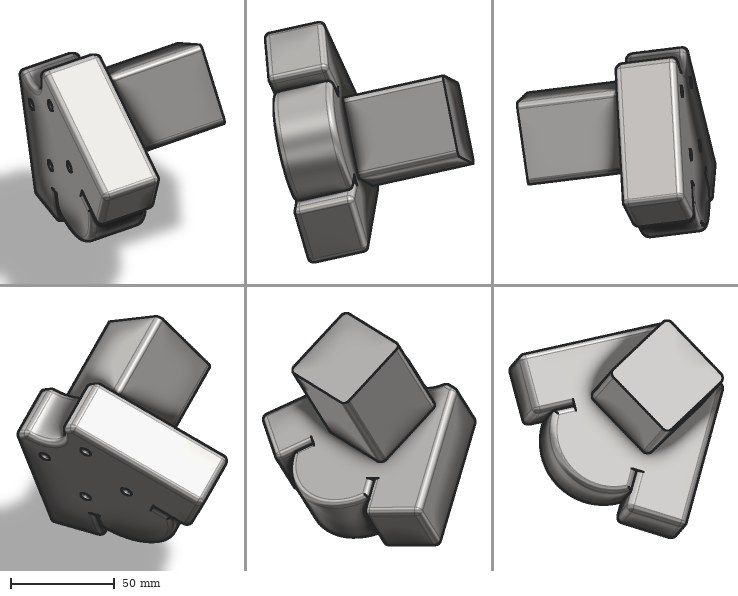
import cadquery as cq
import math


base_thickness = 30.0
post_length = 50.0
edge_radius = 3.0

arm_tilt = 15.0
arm_outer_offset = 34.7
arm_width = 30.1
arm_end_distance = 55.9
nose_distance = 32.5

bite_radius = 15.2
bite_center_distance = 38.9

lobe_radius = 30.0
lobe_center_distance = 24.6
groove_start_distance = 35.8

post_side = 40.3
post_corner_radius = 3.0
hole_diameter = 5.5
hole_spacing = 31.0
hole_depth = base_thickness

arm_inner_offset = arm_outer_offset - arm_width
arm_angle = math.radians(arm_tilt)
half_angle = math.radians(45.0 - arm_tilt)


def arm_point(along, offset):
    """Point at a distance along the arm and an offset square to it, as (X, Z)."""
    x = along * math.cos(arm_angle) + offset * math.sin(arm_angle)
    z = -along * math.sin(arm_angle) + offset * math.cos(arm_angle)
    return (x, z)


def mirrored(point):
    """Mirror image of a point about the symmetry line Z = -X."""
    x, z = point
    return (-z, -x)


def axis_point(distance):
    """Point on the symmetry line, positive towards +X and -Z."""
    return (distance * math.sqrt(0.5), -distance * math.sqrt(0.5))


def front_plane():
    """Sketch plane whose axes are X and Z; extruding by a negative length goes to +Y."""
    return cq.Workplane("XZ")


def prism(points):
    """Block of full base thickness with the given (X, Z) corners."""
    return front_plane().polyline(points).close().extrude(-base_thickness)


crotch = axis_point(-arm_inner_offset / math.sin(half_angle))


def make_arms():
    """Both arms, with the flat nose and its bite, rounded on every edge but the crotch."""
    nose_along = (arm_outer_offset * math.sin(half_angle) - nose_distance) / math.cos(half_angle)
    upper_side = [
        arm_point(nose_along, arm_outer_offset),
        arm_point(arm_end_distance, arm_outer_offset),
        arm_point(arm_end_distance, arm_inner_offset),
    ]
    lower_side = [mirrored(point) for point in reversed(upper_side)]
    arms = prism(upper_side + [crotch] + lower_side)
    bite = (
        front_plane()
        .center(*axis_point(-bite_center_distance))
        .circle(bite_radius)
        .extrude(-base_thickness)
    )
    arms = arms.cut(bite)
    crotch_edge = cq.selectors.NearestToPointSelector((crotch[0], base_thickness / 2, crotch[1]))
    corner_edges = cq.selectors.ParallelDirSelector(cq.Vector(0, 1, 0)) - crotch_edge
    arms = arms.edges(corner_edges).fillet(edge_radius)
    return arms.faces("<Y or >Y").edges().fillet(edge_radius)


def make_lobe():
    """Wedge that fills the space between the arms and ends in a round."""
    center_along = lobe_center_distance * math.cos(half_angle)
    center_offset = -lobe_center_distance * math.sin(half_angle)
    reach = math.sqrt(lobe_radius**2 - (arm_inner_offset - center_offset) ** 2)
    corner = arm_point(center_along + reach, arm_inner_offset)
    lobe = (
        front_plane()
        .moveTo(*crotch)
        .lineTo(*corner)
        .threePointArc(axis_point(lobe_center_distance + lobe_radius), mirrored(corner))
        .close()
        .extrude(-base_thickness)
    )
    return lobe.faces("<Y or >Y").edges().fillet(edge_radius)


def make_core():
    """Full-thickness middle that joins arms and lobe and closes the inner end of each groove."""
    groove_end = [
        arm_point(groove_start_distance, arm_inner_offset + edge_radius),
        arm_point(groove_start_distance, arm_inner_offset - edge_radius),
    ]
    groove_end_mirrored = [mirrored(point) for point in reversed(groove_end)]
    behind_crotch = axis_point(-(arm_inner_offset + edge_radius) / math.sin(half_angle))
    return prism(groove_end + groove_end_mirrored + [behind_crotch])


def make_post():
    """Square post standing on one corner, with rounded long edges."""
    return (
        front_plane()
        .transformed(rotate=(0, 0, 45))
        .rect(post_side, post_side)
        .extrude(-(base_thickness + post_length))
        .edges("|Y")
        .fillet(post_corner_radius)
    )


def make_holes():
    """Four blind holes as deep as the base is thick."""
    return (
        front_plane()
        .transformed(rotate=(0, 0, 45))
        .rect(hole_spacing, hole_spacing, forConstruction=True)
        .vertices()
        .circle(hole_diameter / 2)
        .extrude(-hole_depth)
    )


base = make_arms().union(make_lobe()).union(make_core())
result = base.union(make_post()).cut(make_holes())